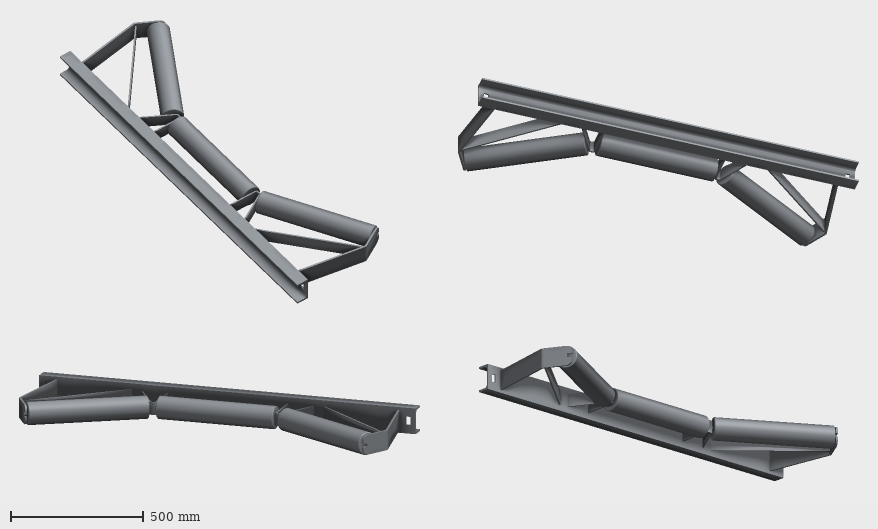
import cadquery as cq
import math


channel_length = 1500.0
channel_depth = 50.0
channel_width = 100.0
web_thickness = 5.0
flange_thickness = 8.0
root_radius = 14.0
mount_hole_length = 18.0
mount_hole_width = 32.0
mount_hole_x = 720.0

roller_length = 465.0
roller_diameter = 88.0
rim_chamfer = 2.2
shaft_diameter = 20.0
shaft_flat_width = 14.0
roller_gap = 5.0
trough_angle = math.radians(30)
middle_roller_y = 166.0
side_roller_x = 477.0
side_roller_y = 294.0

arm_thickness = 8.0
bracket_thickness = 6.0
arm_width = 78.0
bracket_width = 50.0
arm_foot_x = 685.0
arm_bend_drop = 92.0
arm_tip_rise = 30.0
arm_tip_radius = 24.0
arm_bend_radius = 10.0
bracket_top_y = 192.0
bracket_bend_radius = 5.0

brace_thickness = 6.0
brace_width = 54.0
brace_foot_x = 385.0
brace_top_drop = 84.0

roller_half = roller_length / 2
plate_inner = roller_half + roller_gap
arm_face = plate_inner + arm_thickness
bracket_face = plate_inner + bracket_thickness


def on_side_roller(axial, radial):
    """Point at a distance along the left roller axis (outward) and square to it (upward)."""
    x = -side_roller_x - axial * math.cos(trough_angle) + radial * math.sin(trough_angle)
    y = side_roller_y + axial * math.sin(trough_angle) + radial * math.cos(trough_angle)
    return (x, y)


def parallel_line_corners(path, distance):
    """Corners of a path shifted to its right by a distance, with mitred bends."""
    headings = [math.atan2(b[1] - a[1], b[0] - a[0]) for a, b in zip(path, path[1:])]
    corners = []
    for i, (x, y) in enumerate(path):
        before = headings[max(i - 1, 0)]
        after = headings[min(i, len(headings) - 1)]
        bisector = (before + after) / 2
        reach = distance / math.cos((after - before) / 2)
        corners.append((x + reach * math.sin(bisector), y - reach * math.cos(bisector)))
    return corners


def bent_strip(path, thickness, strip_width, inside_radius):
    """Flat strip folded along a path, which is its outer face; the material lies to the right."""
    inside = parallel_line_corners(path, thickness)
    strip = cq.Workplane("XY").polyline(path + inside[::-1]).close().extrude(strip_width)
    strip = strip.translate((0, 0, -strip_width / 2))
    for outer_bend, inner_bend in zip(path[1:-1], inside[1:-1]):
        for bend, radius in ((outer_bend, inside_radius + thickness), (inner_bend, inside_radius)):
            strip = strip.edges(cq.selectors.NearestToPointSelector((*bend, 0))).fillet(radius)
    return strip


def above_channel(body):
    """The part of a body above the channel web."""
    waste = cq.Workplane("XY").box(channel_length, 2 * channel_depth, channel_width)
    return body.cut(waste)


def foot_below_channel(start, foot_x):
    """Point under the web on the line from a start point through the given foot on the web."""
    slope = (foot_x - start[0]) / (channel_depth - start[1])
    return (start[0] - slope * start[1], 0)


def flattened_shaft(start, end):
    """Shaft along X with two flats facing Z."""
    length = end - start
    flats = cq.Workplane("XY").box(length, shaft_diameter, shaft_flat_width)
    flats = flats.translate(((start + end) / 2, 0, 0))
    rod = cq.Workplane("YZ").workplane(offset=start).circle(shaft_diameter / 2).extrude(length)
    return rod.intersect(flats)


def shaft_slot(length, height):
    """Cutter along X at the origin: a seat for a flattened shaft, open toward +Y."""
    opening = cq.Workplane("XY").box(length, height, shaft_flat_width)
    opening = opening.translate((0, height / 2, 0))
    return flattened_shaft(-length / 2, length / 2).union(opening)


def along_roller(body, center, angle):
    """Turn a body made along X at the origin to a roller axis and move it to a center on that axis."""
    return body.rotate((0, 0, 0), (0, 0, 1), math.degrees(angle)).translate((*center, 0))


def make_channel():
    """Channel with its web on top, rounded roots and a mounting hole near each end."""
    half_width = channel_width / 2
    web_inner = channel_depth - web_thickness
    flange_inner = half_width - flange_thickness
    profile = [
        (0, half_width), (channel_depth, half_width), (channel_depth, -half_width), (0, -half_width),
        (0, -flange_inner), (web_inner, -flange_inner), (web_inner, flange_inner), (0, flange_inner),
    ]
    channel = cq.Workplane("YZ").polyline(profile).close().extrude(channel_length)
    channel = channel.translate((-channel_length / 2, 0, 0))
    for side in (-1, 1):
        root = (0, web_inner, side * flange_inner)
        channel = channel.edges(cq.selectors.NearestToPointSelector(root)).fillet(root_radius)
    holes = (
        cq.Workplane("XZ").pushPoints([(-mount_hole_x, 0), (mount_hole_x, 0)])
        .rect(mount_hole_length, mount_hole_width).extrude(-channel_depth)
    )
    return channel.cut(holes)


def make_roller(center, angle, left_end, right_end):
    """Roller with its shaft, which reaches the given distances from the center along the axis."""
    shell = cq.Workplane("YZ").workplane(offset=-roller_half)
    shell = shell.circle(roller_diameter / 2).extrude(roller_length)
    shell = shell.faces("<X or >X").chamfer(rim_chamfer)
    return along_roller(shell.union(flattened_shaft(-left_end, right_end)), center, angle)


def make_arm():
    """Bent strip with a rounded, slotted tip that holds the outer shaft end of the left roller."""
    bend = on_side_roller(arm_face, -arm_bend_drop)
    tip = on_side_roller(arm_face, arm_tip_rise)
    path = [foot_below_channel(bend, -arm_foot_x), bend, tip]
    arm = bent_strip(path, arm_thickness, arm_width, arm_bend_radius)
    tip_middle = on_side_roller(arm_face - arm_thickness / 2, arm_tip_rise)
    for side in (-1, 1):
        corner = (*tip_middle, side * arm_width / 2)
        arm = arm.edges(cq.selectors.NearestToPointSelector(corner)).fillet(arm_tip_radius)
    seat = on_side_roller(arm_face, 0)
    slot = shaft_slot(4 * arm_thickness, 2 * arm_tip_rise)
    arm = arm.cut(along_roller(slot, seat, -trough_angle))
    return above_channel(arm)


def make_bracket(rollers):
    """Folded strip between two rollers, with a hole in each leg that fits a shaft end."""
    face = on_side_roller(-plate_inner, 0)
    left_bend_x = face[0] + (bracket_top_y - face[1]) * math.tan(trough_angle)
    left_bend = (left_bend_x, bracket_top_y)
    right_bend = (-plate_inner, bracket_top_y)
    left_foot_x = left_bend_x - (bracket_top_y - channel_depth) * math.tan(trough_angle)
    left_foot = foot_below_channel(left_bend, left_foot_x)
    path = [left_foot, left_bend, right_bend, (-plate_inner, 0)]
    bracket = above_channel(bent_strip(path, bracket_thickness, bracket_width, bracket_bend_radius))
    for roller in rollers:
        bracket = bracket.cut(roller)
    return bracket


def make_brace(arm):
    """Flat strip from the channel to the inner face of the arm."""
    top = on_side_roller(arm_face - arm_thickness / 2, -brace_top_drop)
    foot = foot_below_channel(top, -brace_foot_x)
    upper = parallel_line_corners([top, foot], -brace_thickness / 2)
    lower = parallel_line_corners([top, foot], brace_thickness / 2)
    brace = cq.Workplane("XY").polyline(upper + lower[::-1]).close().extrude(brace_width)
    brace = brace.translate((0, 0, -brace_width / 2))
    return above_channel(brace).cut(arm)


def with_mirror(body):
    """The left-hand solid and its separate right-hand copy."""
    return [body.val(), body.mirror("YZ").val()]


channel = make_channel()
middle_roller = make_roller((0, middle_roller_y), 0, bracket_face, bracket_face)
side_roller = make_roller((-side_roller_x, side_roller_y), -trough_angle, arm_face, bracket_face)
arm = make_arm()
bracket = make_bracket([middle_roller, side_roller])
brace = make_brace(arm)

result = cq.Compound.makeCompound([
    channel.val(),
    middle_roller.val(),
    *with_mirror(side_roller),
    *with_mirror(arm),
    *with_mirror(bracket),
    *with_mirror(brace),
])